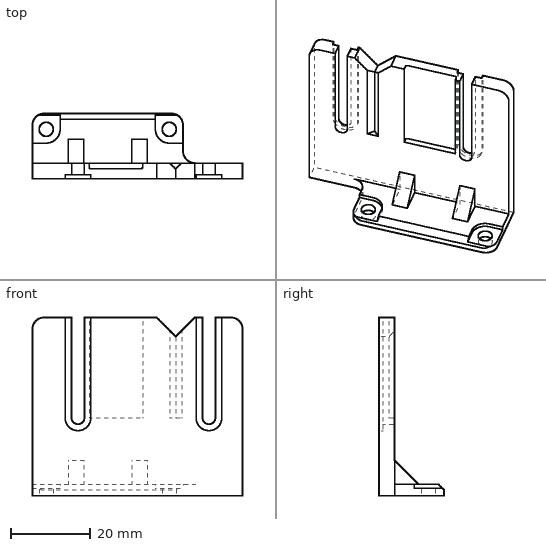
import cadquery as cq

plate_width = 53.0
plate_height = 45.0
plate_thickness = 4.0
corner_radius = 3.0

flange_width = 38.0
flange_depth = 16.5
flange_thickness = 3.0
flange_chamfer = 1.5

screw_hole_diameter = 3.5
screw_side_offset = 3.5
screw_back_offset = 4.0
screw_seat_radius = 3.5
screw_seat_height = 2.0

rib_left_edges = (9.0, 25.0)
rib_width = 4.0
rib_size = 6.0

slot_centers_x = (11.5, 44.5)
slot_width = 3.2
slot_step_width = 6.5
slot_step_depth = 1.0
slot_end_z = 19.7

notch_center_x = 36.1
notch_depth = 4.8

relief_depth = 1.5
relief_bottom_z = slot_end_z
relief_left = 14.3
relief_right = 27.8
relief_corner_radius = 0.5

screw_y = flange_depth - screw_back_offset
screw_centers_x = (screw_side_offset, flange_width - screw_side_offset)


def make_plate():
    plate = cq.Workplane("XY").box(plate_width, plate_thickness, plate_height, centered=False)
    return plate.edges("|Y and >Z").fillet(corner_radius)


def make_flange():
    """Foot with rounded back corners, a chamfered back edge and a fillet into the plate."""
    flange = cq.Workplane("XY").box(flange_width, flange_depth, flange_thickness, centered=False)
    flange = flange.edges("|Z and >Y").fillet(corner_radius)
    chamfer_cut = (
        cq.Workplane("YZ")
        .moveTo(flange_depth - flange_chamfer, flange_thickness)
        .lineTo(flange_depth, flange_thickness)
        .lineTo(flange_depth, flange_thickness - flange_chamfer)
        .close()
        .extrude(flange_width)
    )
    inner_fillet = (
        cq.Workplane("XY")
        .moveTo(flange_width, plate_thickness)
        .lineTo(flange_width + corner_radius, plate_thickness)
        .radiusArc((flange_width, plate_thickness + corner_radius), corner_radius)
        .close()
        .extrude(flange_thickness)
    )
    return flange.cut(chamfer_cut).union(inner_fillet)


def make_rib(left_edge):
    return (
        cq.Workplane("YZ", origin=(left_edge, 0, 0))
        .moveTo(plate_thickness, flange_thickness)
        .lineTo(plate_thickness + rib_size, flange_thickness)
        .lineTo(plate_thickness, flange_thickness + rib_size)
        .close()
        .extrude(rib_width)
    )


def screw_cut(center_x, outward):
    """Hole and seat; the seat runs out at the back and on the side given by outward (-1 or +1)."""
    seat_outline = (
        cq.Workplane("XY", origin=(center_x, screw_y, screw_seat_height))
        .moveTo(-outward * screw_seat_radius, 0)
        .radiusArc((0, -screw_seat_radius), -outward * screw_seat_radius)
        .lineTo(outward * screw_side_offset, -screw_seat_radius)
        .lineTo(outward * screw_side_offset, screw_back_offset)
        .lineTo(-outward * screw_seat_radius, screw_back_offset)
        .close()
    )
    seat = seat_outline.extrude(flange_thickness - screw_seat_height)
    hole = (
        cq.Workplane("XY", origin=(center_x, screw_y, 0))
        .circle(screw_hole_diameter / 2)
        .extrude(flange_thickness)
    )
    return seat.union(hole)


def open_slot(center_x, width, depth):
    """Round-ended slot cut from the front face and open at the top edge."""
    radius = width / 2
    return (
        cq.Workplane("XZ", origin=(center_x, 0, 0))
        .moveTo(-radius, plate_height)
        .lineTo(-radius, slot_end_z)
        .threePointArc((0, slot_end_z - radius), (radius, slot_end_z))
        .lineTo(radius, plate_height)
        .close()
        .extrude(-depth)
    )


def notch_cut():
    return (
        cq.Workplane("XZ", origin=(notch_center_x, 0, plate_height))
        .moveTo(-notch_depth, 0)
        .lineTo(0, -notch_depth)
        .lineTo(notch_depth, 0)
        .close()
        .extrude(-plate_thickness)
    )


def wide_relief():
    """Shallow channel in the back face, with rounded floor corners, open at the top edge."""
    relief = cq.Workplane("XY", origin=(relief_left, plate_thickness - relief_depth, relief_bottom_z)).box(
        relief_right - relief_left, relief_depth, plate_height - relief_bottom_z, centered=False
    )
    return relief.edges("|Z and <Y").fillet(relief_corner_radius)


def groove_below_notch():
    """Vertical V groove in the back face, running down from the notch."""
    return (
        cq.Workplane("XY", origin=(notch_center_x, plate_thickness, relief_bottom_z))
        .moveTo(-relief_depth, 0)
        .lineTo(0, -relief_depth)
        .lineTo(relief_depth, 0)
        .close()
        .extrude(plate_height - relief_bottom_z)
    )


result = make_plate().union(make_flange())
for rib_left_edge in rib_left_edges:
    result = result.union(make_rib(rib_left_edge))
for screw_x, outward in zip(screw_centers_x, (-1, 1)):
    result = result.cut(screw_cut(screw_x, outward))
for slot_x in slot_centers_x:
    result = result.cut(open_slot(slot_x, slot_width, plate_thickness))
    result = result.cut(open_slot(slot_x, slot_step_width, slot_step_depth))
result = result.cut(notch_cut()).cut(wide_relief()).cut(groove_below_notch())